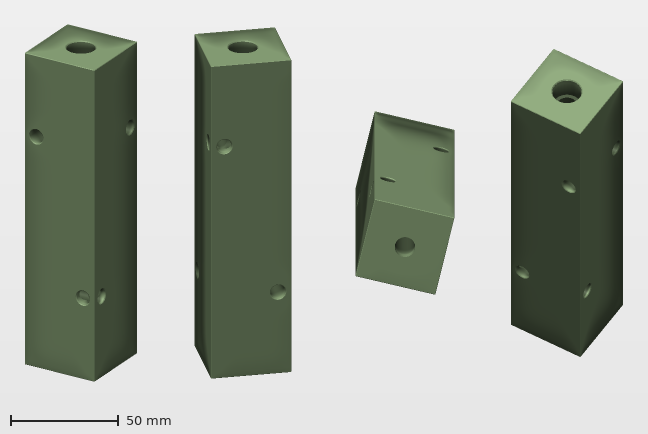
import cadquery as cq

length = 158.8
width = 38.1
edge_chamfer = 0.24

bore_diameter = 9.5
port_mouth_diameter = 14.6
port_chamfer = 0.45
port_taper = 1 / 16
port_depth = 10.0

cross_hole_diameter = 7.1
cross_hole_chamfer = 0.35
cross_hole_offset = width / 3
cross_hole_height = width


def tapered_port():
    """Conical cutter narrowing downward from the top face, with a 45 degree chamfer at its mouth."""
    mouth_radius = port_mouth_diameter / 2
    top_radius = mouth_radius - port_chamfer
    floor_radius = top_radius - port_taper * port_depth / 2
    top_centre = cq.Vector(0, 0, length / 2)
    down = cq.Vector(0, 0, -1)
    taper = cq.Solid.makeCone(top_radius, floor_radius, port_depth, top_centre, down)
    mouth = cq.Solid.makeCone(mouth_radius, top_radius, port_chamfer, top_centre, down)
    return taper.fuse(mouth)


def cross_hole(side, height):
    """Cutter along Y at X = side, with 45 degree chamfers at both mouths."""
    radius = cross_hole_diameter / 2
    back = cq.Vector(side, width / 2, height)
    forward = cq.Vector(0, -1, 0)
    drill = cq.Solid.makeCylinder(radius, width, back, forward)
    back_mouth = cq.Solid.makeCone(radius + cross_hole_chamfer, radius, cross_hole_chamfer, back, forward)
    front_mouth = back_mouth.mirror("XZ")
    return drill.fuse(back_mouth, front_mouth)


result = cq.Workplane("XY").box(width, width, length).edges().chamfer(edge_chamfer)

result = result.faces(">Z").workplane().hole(bore_diameter)
result = result.cut(cq.Workplane(tapered_port()))

for end in (1, -1):
    hole = cq.Workplane(cross_hole(-end * cross_hole_offset, end * cross_hole_height))
    result = result.cut(hole)
    result = result.cut(hole.rotate((0, 0, 0), (0, 0, 1), -90))